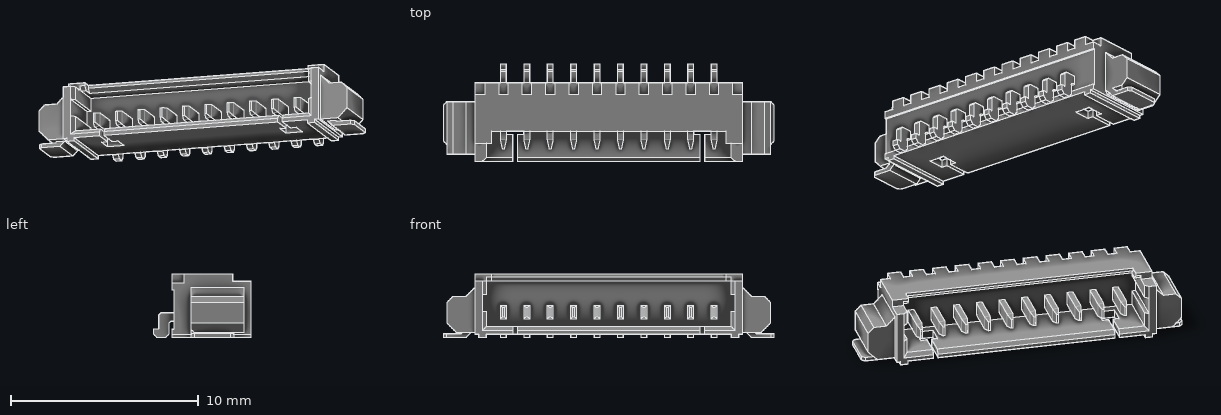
import cadquery as cq


BODY_HALF_LENGTH = 7.15
BODY_REAR = 4.22
BODY_TOP = 3.4
BODY_BOTTOM = 0.18
ROOF_THICKNESS = 0.39
WALL_TOP = BODY_TOP - ROOF_THICKNESS
STEP_DEPTH = 0.97

CAVITY_HALF_LENGTH = 6.53
CAVITY_BACK = 2.93
FLOOR_TOP = 0.6
MOUTH_CHAMFER = 0.21
GROOVE_DEPTH = 0.21
GROOVE_BOTTOM = 1.4
GROOVE_TOP = 2.31

ROOF_FRONT = 1.6
ROOF_CUTOUT_HALF_LENGTH = 6.25
ROOF_EDGE_CHAMFER = 0.23

REAR_RECESS_DEPTH = 0.1
REAR_RECESS_BOTTOM = 0.46
REAR_RECESS_TOP = 2.55
NOTCH_WIDTH = 0.5
NOTCH_DEPTH = 0.64
NOTCH_HEIGHT = 0.48
CORNER_NOTCH_WIDTH = 0.55

SLOT_CENTER = 5.0
SLOT_WIDTH = 0.25
WINDOW_WIDTH = 0.92
WINDOW_FRONT = 1.45
WINDOW_REAR = 2.47

FOOT_OUTER = 6.94
FOOT_INNER = 6.53

PIN_COUNT = 10
PIN_ROW_LENGTH = 11.25
PIN_PITCH = PIN_ROW_LENGTH / (PIN_COUNT - 1)
PIN_WIDTH = 0.32
PIN_BOTTOM = 1.0
PIN_TOP = 1.73
PIN_TIP = 0.67
PIN_TAPER_LENGTH = 0.5
PIN_TIP_WIDTH = 0.1
PIN_TIP_HEIGHT = 0.51

TAIL_TOP = 1.35
TAIL_UNDERSIDE = 0.86
TAIL_LEG_FRONT = 4.38
TAIL_LEG_REAR = 4.92
TAIL_END = 5.2
TAIL_FOOT_TOP = 0.48
TAIL_FOOT_CHAMFER = 0.2
TAIL_OUTER_CHAMFER = 0.12
TAIL_INNER_CHAMFER = 0.09

WING_OUTER = 8.63
WING_FRONT = 0.39
WING_REAR = 3.2
WING_BOTTOM = 0.26
WING_TOP = 2.2
WING_SHOULDER = 0.48
WING_UPPER_CHAMFER = 0.32
WING_LOWER_CHAMFER = 0.51
WING_CORNER = 0.18

TAB_OUTER = 8.82
TAB_FRONT = 0.92
TAB_THICKNESS = 0.21
TAB_BEND_TOP = 0.46
TAB_BEND = 7.62
TAB_CORNER = 0.18

PIN_POSITIONS = [(i - (PIN_COUNT - 1) / 2) * PIN_PITCH for i in range(PIN_COUNT)]


def block(x0, x1, y0, y1, z0, z1):
    """Box between two opposite corners."""
    return cq.Workplane("XY").box(x1 - x0, y1 - y0, z1 - z0, centered=False).translate((x0, y0, z0))


def centred_block(half_length, y0, y1, z0, z1):
    """Box symmetric about the middle of the pin row."""
    return block(-half_length, half_length, y0, y1, z0, z1)


def extrude_along_y(points, y0, y1):
    """Prism with an (X, Z) outline running from y0 to y1."""
    return cq.Workplane("XZ", origin=(0, y0, 0)).polyline(points).close().extrude(y0 - y1)


def extrude_along_x(points, width):
    """Prism with a (Y, Z) outline, centred on X = 0."""
    return cq.Workplane("YZ").polyline(points).close().extrude(width / 2, both=True)


def both_ends(shape):
    """The shape together with its mirror image at the other end of the row."""
    return shape.union(shape.mirror("YZ"))


def make_shell():
    """Outer block with stepped front, recessed rear face and feet."""
    shell = centred_block(BODY_HALF_LENGTH, 0, BODY_REAR, BODY_BOTTOM, BODY_TOP)
    shell = shell.cut(centred_block(BODY_HALF_LENGTH, 0, STEP_DEPTH, WALL_TOP, BODY_TOP))
    recess_front = BODY_REAR - REAR_RECESS_DEPTH
    shell = shell.cut(
        centred_block(BODY_HALF_LENGTH, recess_front, BODY_REAR, REAR_RECESS_BOTTOM, REAR_RECESS_TOP)
    )
    foot = block(FOOT_INNER, FOOT_OUTER, 0, BODY_REAR, 0, BODY_BOTTOM)
    return shell.union(both_ends(foot))


def make_cavity():
    """Mating cavity: main space, side grooves and flared mouth."""
    cavity = centred_block(CAVITY_HALF_LENGTH, 0, CAVITY_BACK, FLOOR_TOP, WALL_TOP)
    grooves = centred_block(
        CAVITY_HALF_LENGTH + GROOVE_DEPTH, 0, CAVITY_BACK, GROOVE_BOTTOM, GROOVE_TOP
    )
    flare_height = 2 * (WALL_TOP - FLOOR_TOP)
    flare = (
        cq.Workplane("XZ", origin=(0, 0, WALL_TOP))
        .rect(2 * (CAVITY_HALF_LENGTH + MOUTH_CHAMFER), flare_height + 2 * MOUTH_CHAMFER)
        .workplane(offset=-MOUTH_CHAMFER)
        .rect(2 * CAVITY_HALF_LENGTH, flare_height)
        .loft(ruled=True)
    )
    return cavity.union(grooves).union(flare)


def make_roof_edge(front, half_length):
    """Wedge that bevels the underside of the roof along a front edge."""
    outline = [
        (front, WALL_TOP),
        (front, WALL_TOP + ROOF_EDGE_CHAMFER),
        (front + ROOF_EDGE_CHAMFER, WALL_TOP),
    ]
    return extrude_along_x(outline, 2 * half_length)


def make_rear_notches():
    """Notches along the top rear edge, one over each pin and one at each corner."""
    front = BODY_REAR - NOTCH_DEPTH
    bottom = BODY_TOP - NOTCH_HEIGHT
    inner = BODY_HALF_LENGTH - CORNER_NOTCH_WIDTH
    notches = both_ends(block(inner, BODY_HALF_LENGTH, front, BODY_REAR, bottom, BODY_TOP))
    for x in PIN_POSITIONS:
        notches = notches.union(
            block(x - NOTCH_WIDTH / 2, x + NOTCH_WIDTH / 2, front, BODY_REAR, bottom, BODY_TOP)
        )
    return notches


def make_floor_openings():
    """T-shaped openings in the floor: a slot from the mouth into a wider window."""
    slot = block(
        SLOT_CENTER - SLOT_WIDTH / 2, SLOT_CENTER + SLOT_WIDTH / 2, 0, WINDOW_FRONT, BODY_BOTTOM, FLOOR_TOP
    )
    window = block(
        SLOT_CENTER - WINDOW_WIDTH / 2,
        SLOT_CENTER + WINDOW_WIDTH / 2,
        WINDOW_FRONT,
        WINDOW_REAR,
        BODY_BOTTOM,
        FLOOR_TOP,
    )
    return both_ends(slot.union(window))


def make_pin():
    """One pin at X = 0: tapered tip, blade, and cranked tail behind the housing."""
    taper_end = PIN_TIP + PIN_TAPER_LENGTH
    middle = (PIN_BOTTOM + PIN_TOP) / 2
    wall_rear = BODY_REAR - REAR_RECESS_DEPTH
    blade = block(-PIN_WIDTH / 2, PIN_WIDTH / 2, taper_end, CAVITY_BACK, PIN_BOTTOM, PIN_TOP)
    tip = (
        cq.Workplane("XZ", origin=(0, PIN_TIP, middle))
        .rect(PIN_TIP_WIDTH, PIN_TIP_HEIGHT)
        .workplane(offset=-PIN_TAPER_LENGTH)
        .rect(PIN_WIDTH, PIN_TOP - PIN_BOTTOM)
        .loft(ruled=True)
    )
    tail_outline = [
        (wall_rear, TAIL_TOP),
        (TAIL_LEG_REAR - TAIL_OUTER_CHAMFER, TAIL_TOP),
        (TAIL_LEG_REAR, TAIL_TOP - TAIL_OUTER_CHAMFER),
        (TAIL_LEG_REAR, TAIL_FOOT_TOP),
        (TAIL_END, TAIL_FOOT_TOP),
        (TAIL_END, TAIL_FOOT_CHAMFER),
        (TAIL_END - TAIL_FOOT_CHAMFER, 0),
        (TAIL_LEG_FRONT + TAIL_FOOT_CHAMFER, 0),
        (TAIL_LEG_FRONT, TAIL_FOOT_CHAMFER),
        (TAIL_LEG_FRONT, TAIL_UNDERSIDE - TAIL_INNER_CHAMFER),
        (TAIL_LEG_FRONT - TAIL_INNER_CHAMFER, TAIL_UNDERSIDE),
        (wall_rear, TAIL_UNDERSIDE),
    ]
    return blade.union(tip).union(extrude_along_x(tail_outline, PIN_WIDTH))


def make_wing():
    """Side wing at the +X end with the solder tab bent out beneath it."""
    wing_outline = [
        (BODY_HALF_LENGTH, WING_BOTTOM),
        (WING_OUTER - WING_LOWER_CHAMFER, WING_BOTTOM),
        (WING_OUTER, WING_BOTTOM + WING_LOWER_CHAMFER),
        (WING_OUTER, WING_TOP - WING_UPPER_CHAMFER),
        (WING_OUTER - WING_UPPER_CHAMFER, WING_TOP),
        (BODY_HALF_LENGTH + WING_SHOULDER, WING_TOP),
        (BODY_HALF_LENGTH, WING_TOP + WING_SHOULDER),
    ]
    wing = extrude_along_y(wing_outline, WING_FRONT, WING_REAR)
    lower_rear_edge = [
        (WING_REAR, WING_BOTTOM),
        (WING_REAR, WING_BOTTOM + WING_CORNER),
        (WING_REAR - WING_CORNER, WING_BOTTOM),
    ]
    corner_cut = cq.Workplane("YZ", origin=(BODY_HALF_LENGTH, 0, 0)).polyline(lower_rear_edge).close()
    wing = wing.cut(corner_cut.extrude(WING_OUTER - BODY_HALF_LENGTH))
    rise = TAB_BEND_TOP - TAB_THICKNESS
    bend_end = TAB_BEND - TAB_THICKNESS
    tab_outline = [
        (TAB_OUTER, 0),
        (TAB_BEND, 0),
        (bend_end - rise, TAB_BEND_TOP),
        (TAB_BEND, TAB_BEND_TOP),
        (TAB_BEND + rise, TAB_THICKNESS),
        (TAB_OUTER, TAB_THICKNESS),
    ]
    tab = extrude_along_y(tab_outline, TAB_FRONT, WING_REAR)
    tab = tab.edges("|Z and >X").chamfer(TAB_CORNER)
    return wing.union(tab)


housing = make_shell().cut(make_cavity())
housing = housing.cut(centred_block(ROOF_CUTOUT_HALF_LENGTH, STEP_DEPTH, ROOF_FRONT, WALL_TOP, BODY_TOP))
housing = housing.cut(make_roof_edge(ROOF_FRONT, ROOF_CUTOUT_HALF_LENGTH))
housing = housing.cut(make_roof_edge(STEP_DEPTH, CAVITY_HALF_LENGTH))
housing = housing.cut(make_rear_notches())
housing = housing.cut(make_floor_openings())

result = housing.union(both_ends(make_wing()))
pin = make_pin()
for pin_x in PIN_POSITIONS:
    result = result.union(pin.translate((pin_x, 0, 0)))